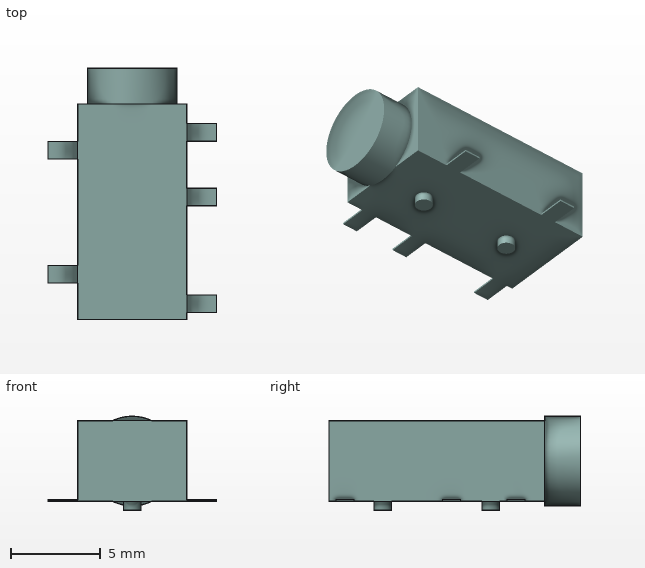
import cadquery as cq

total_length = 14
barrel_length = 2.0
body_length = total_length - barrel_length
body_width = 6.09
body_height = 4.5
body_bottom = -body_height / 2

barrel_diameter = 5.0

lead_span = 9.4
lead_length = (lead_span - body_width) / 2
lead_width = 1.0
lead_thickness = 0.1
left_lead_places = [2.52, 9.42]
right_lead_places = [0.88, 6.82, 10.42]

peg_diameter = 1.0
peg_height = 0.5
peg_places = [3.0, 9.0]


def make_body():
    return cq.Workplane("XY").box(body_width, body_length, body_height).translate((0, body_length / 2, 0))


def make_barrel():
    return (
        cq.Workplane("XZ", origin=(0, body_length, 0))
        .circle(barrel_diameter / 2)
        .extrude(-barrel_length)
    )


def make_lead(side, place):
    """Lead on the -X (side = -1) or +X (side = 1) wall, centred at the given Y."""
    center_x = side * (body_width + lead_length) / 2
    center_z = body_bottom + lead_thickness / 2
    return cq.Workplane("XY").box(lead_length, lead_width, lead_thickness).translate((center_x, place, center_z))


def make_peg(place):
    return (
        cq.Workplane("XY", origin=(0, place, body_bottom))
        .circle(peg_diameter / 2)
        .extrude(-peg_height)
    )


result = make_body().union(make_barrel())
for lead_place in left_lead_places:
    result = result.union(make_lead(-1, lead_place))
for lead_place in right_lead_places:
    result = result.union(make_lead(1, lead_place))
for peg_place in peg_places:
    result = result.union(make_peg(peg_place))